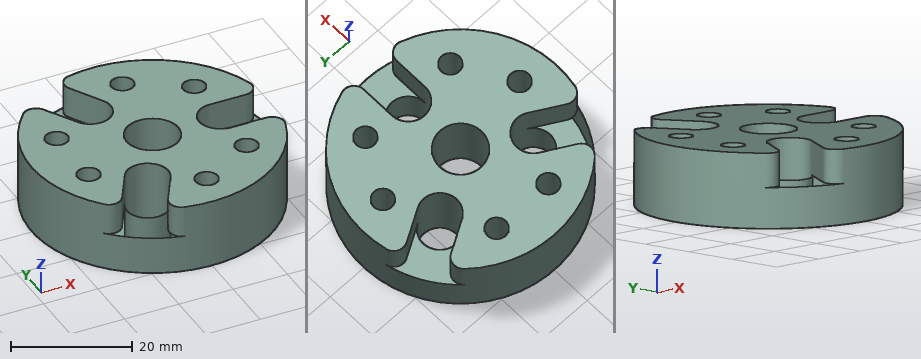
import cadquery as cq
import math

disc_diameter = 44.45
disc_height = 12.7
center_hole_diameter = 9.5

slot_count = 3
slot_width = 7.6
slot_depth = 5.8
slot_center_radius = 12.4
slot_mouth_radius = 2.22

small_hole_diameter = 4.05
small_hole_circle_radius = 15.85
small_hole_half_spread = 22.0

base_height = disc_height - slot_depth
slot_pitch = 360.0 / slot_count
slot_angles = [i * slot_pitch for i in range(slot_count)]
small_hole_angles = [
    angle + slot_pitch / 2 + side * small_hole_half_spread
    for angle in slot_angles
    for side in (-1, 1)
]


def through_hole(diameter, radius, angle):
    """Vertical cutter at a polar position about the disc axis."""
    hole = cq.Workplane("XY").center(radius, 0).circle(diameter / 2).extrude(disc_height)
    return hole.rotate((0, 0, 0), (0, 0, 1), angle)


def slot(angle):
    """Straight part of a slot, from its hole centre out past the rim."""
    cutter = (
        cq.Workplane("XY", origin=(slot_center_radius, 0, base_height))
        .rect(disc_diameter / 2, slot_width)
        .extrude(slot_depth)
        .translate((disc_diameter / 4, 0, 0))
    )
    return cutter.rotate((0, 0, 0), (0, 0, 1), angle)


def upper_layer():
    """Slotted top of the disc, with the slot mouths rounded where they meet the rim."""
    layer = cq.Workplane("XY", origin=(0, 0, base_height)).circle(disc_diameter / 2).extrude(slot_depth)
    for angle in slot_angles:
        layer = layer.cut(slot(angle))
        layer = layer.cut(through_hole(slot_width, slot_center_radius, angle))
    rim_zone = disc_diameter / 2 - slot_mouth_radius
    mouth_edges = layer.edges("|Z").filter(
        lambda edge: math.hypot(edge.Center().x, edge.Center().y) > rim_zone
    )
    return mouth_edges.fillet(slot_mouth_radius)


base = cq.Workplane("XY").circle(disc_diameter / 2).extrude(base_height)
result = base.union(upper_layer())

result = result.cut(through_hole(center_hole_diameter, 0, 0))
for angle in slot_angles:
    result = result.cut(through_hole(slot_width, slot_center_radius, angle))
for angle in small_hole_angles:
    result = result.cut(through_hole(small_hole_diameter, small_hole_circle_radius, angle))